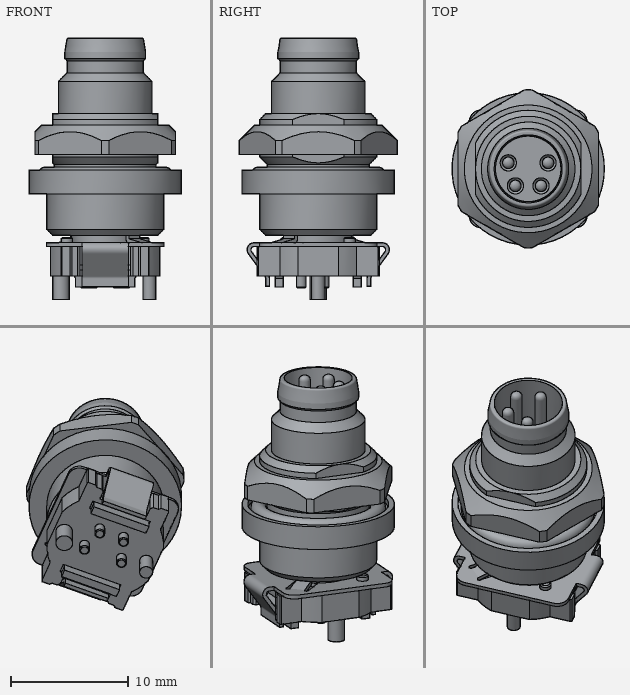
import cadquery as cq
import math

TOTAL_HEIGHT = 22.3

HOUSING_BOTTOM = 2.0
PLATE_BOTTOM = 4.53
PLATE_TOP = 4.86
BODY_BOTTOM = 5.49
FLANGE_BOTTOM = 9.0
FLANGE_TOP = 11.04
COLLAR_BOTTOM = 11.53
NUT_BOTTOM = 12.35
NUT_TOP = 14.87
COLLAR_TOP = 15.85
SOCKET_FLOOR = COLLAR_TOP

SHELL_RADIUS = 4.0
SHELL_SHOULDER_BOTTOM = 18.6
SHELL_SHOULDER_TOP = 19.33
NECK_RADIUS = 3.25
BEAD_RADIUS = 3.45
BEAD_UNDERCUT = 20.35
BEAD_BOTTOM = 20.55
BEAD_TOP = 21.07
LIP_FILLET = 0.18
SOCKET_MOUTH_RADIUS = 2.9
SOCKET_FLOOR_RADIUS = 2.79

COLLAR_RADIUS = 5.0
COLLAR_FLAT = 4.48
COLLAR_TOP_CHAMFER = 0.51
COLLAR_BOTTOM_CHAMFER = 0.65
RELIEF_RADIUS = COLLAR_RADIUS - COLLAR_BOTTOM_CHAMFER

NUT_SIDES = 6
NUT_APOTHEM = 6.0
NUT_ACROSS_CORNERS = 13.5
NUT_CORNER_RADIUS = NUT_ACROSS_CORNERS / 2
NUT_TOP_RADIUS = 5.45

FLANGE_DIAMETER = 13.0
FLANGE_RADIUS = FLANGE_DIAMETER / 2
SEAL_GROOVE_RADIUS = 6.0
SEAL_GROOVE_DEPTH = 0.5
SEAL_RING_RADIUS = 5.08
SEAL_SECTION_RADIUS = 0.67
SEAL_TOP = 11.3
BODY_RADIUS = 5.0
BODY_CHAMFER = 0.51
STEM_RADIUS = 2.85

CONTACTS = [(-1.7, 0.51), (1.7, 0.51), (-1.1, -1.45), (1.1, -1.45)]
CONTACT_RADIUS = 0.5
CONTACT_TOP = 22.08
CONTACT_TIP_FILLET = 0.4
CONTACT_SINK_RADIUS = 0.7
TAIL_RADIUS = 0.42
TAIL_BOTTOM = 1.0
TAIL_CHAMFER = 0.1

PLATE_HALF = 5.02
PLATE_THICKNESS = PLATE_TOP - PLATE_BOTTOM
PLATE_CORNER_RADIUS = 1.0
TONGUE_WIDTH = 3.95
TONGUE_BEND_CENTRE = 5.46
TONGUE_BEND_RADIUS = 0.6
TONGUE_LEAN = 36.0
TONGUE_KNEE_RADIUS = 0.33
TONGUE_END_OUTER = 4.48
TONGUE_BOTTOM = 1.14
TAB_WIDTH = 1.34
TAB_HINGE = 5.02
TAB_UPRIGHT = 3.52
TAB_KNEE = 5.2
TAB_SLOT_WIDTH = 0.33
TAB_DIRECTIONS = [135, -45]

HOUSING_SIDE = 4.65
HOUSING_SIDE_FLAT = 1.72
HOUSING_CORNER_X = 3.75
HOUSING_SIDE_SHOULDER = 3.25
HOUSING_FRONT = 5.22
HOUSING_CORNER_CHAMFER_X = 0.07
HOUSING_CORNER_CHAMFER_Y = 0.13
FRONT_STEP_OUTER = 3.0
FRONT_STEP = 0.18
RECESS_LEAD_OUTER = 2.36
RECESS_LEAD = 0.2
RECESS_BACK = 4.1
RECESS_LEDGE = 2.52
RECESS_LEDGE_DEPTH = 0.42

STUDS = [(-3.25, -2.68), (3.25, 2.68)]
STUD_RADIUS = 0.5
STUD_TOP = 5.3
STUD_CHAMFER = 0.11
LEG_X = 3.77
LARGE_LEG_RADIUS = 0.71
SMALL_LEG_RADIUS = 0.55
BAR_LENGTH = 5.06
BAR_WIDTH = 0.71
BAR_Y = 3.32
BAR_BOTTOM = 1.07
BAR_FLARE_BOTTOM = 1.8
BAR_FLARE = 0.11

OVERLAP = 0.11


def revolved(profile):
    """Solid of revolution about Z from (radius, height) points."""
    return cq.Workplane("XZ").polyline(profile).close().revolve(360, (0, 0, 0), (0, 1, 0))


def cylinder(x, y, radius, bottom, top):
    return cq.Workplane("XY", origin=(x, y, bottom)).circle(radius).extrude(top - bottom)


def block(length, width, bottom, top):
    return cq.Workplane("XY", origin=(0, 0, bottom)).rect(length, width).extrude(top - bottom)


def make_shell():
    shell = revolved([
        (0, NUT_BOTTOM),
        (SHELL_RADIUS, NUT_BOTTOM),
        (SHELL_RADIUS, SHELL_SHOULDER_BOTTOM),
        (NECK_RADIUS, SHELL_SHOULDER_TOP),
        (NECK_RADIUS, BEAD_UNDERCUT),
        (BEAD_RADIUS, BEAD_BOTTOM),
        (BEAD_RADIUS, BEAD_TOP),
        (NECK_RADIUS, TOTAL_HEIGHT),
        (0, TOTAL_HEIGHT),
    ])
    return shell.faces(">Z").edges().fillet(LIP_FILLET)


def make_socket():
    """Slightly tapered cavity that holds the contacts."""
    return revolved([
        (0, SOCKET_FLOOR),
        (SOCKET_FLOOR_RADIUS, SOCKET_FLOOR),
        (SOCKET_MOUTH_RADIUS, TOTAL_HEIGHT),
        (0, TOTAL_HEIGHT),
    ])


def make_collar():
    collar = revolved([
        (0, COLLAR_BOTTOM),
        (RELIEF_RADIUS, COLLAR_BOTTOM),
        (COLLAR_RADIUS, COLLAR_BOTTOM + COLLAR_BOTTOM_CHAMFER),
        (COLLAR_RADIUS, COLLAR_TOP - COLLAR_TOP_CHAMFER),
        (COLLAR_RADIUS - COLLAR_TOP_CHAMFER, COLLAR_TOP),
        (0, COLLAR_TOP),
    ])
    return collar.intersect(block(2 * COLLAR_FLAT, 2 * COLLAR_RADIUS, COLLAR_BOTTOM, COLLAR_TOP))


def make_nut():
    hexagon_diameter = 2 * NUT_APOTHEM / math.cos(math.pi / NUT_SIDES)
    hexagon = (
        cq.Workplane("XY", origin=(0, 0, NUT_BOTTOM))
        .transformed(rotate=(0, 0, 90))
        .polygon(NUT_SIDES, hexagon_diameter)
        .extrude(NUT_TOP - NUT_BOTTOM)
    )
    envelope = revolved([
        (0, NUT_BOTTOM),
        (NUT_CORNER_RADIUS, NUT_BOTTOM),
        (NUT_CORNER_RADIUS, NUT_TOP - (NUT_CORNER_RADIUS - NUT_TOP_RADIUS)),
        (NUT_TOP_RADIUS, NUT_TOP),
        (0, NUT_TOP),
    ])
    return hexagon.intersect(envelope)


def make_rear_body():
    groove_floor = FLANGE_TOP - SEAL_GROOVE_DEPTH
    return revolved([
        (0, PLATE_BOTTOM),
        (STEM_RADIUS, PLATE_BOTTOM),
        (STEM_RADIUS, BODY_BOTTOM),
        (BODY_RADIUS - BODY_CHAMFER, BODY_BOTTOM),
        (BODY_RADIUS, BODY_BOTTOM + BODY_CHAMFER),
        (BODY_RADIUS, FLANGE_BOTTOM),
        (FLANGE_RADIUS, FLANGE_BOTTOM),
        (FLANGE_RADIUS, FLANGE_TOP),
        (SEAL_GROOVE_RADIUS, FLANGE_TOP),
        (SEAL_GROOVE_RADIUS, groove_floor),
        (RELIEF_RADIUS, groove_floor),
        (RELIEF_RADIUS, COLLAR_BOTTOM),
        (0, COLLAR_BOTTOM),
    ])


def make_seal():
    """Sealing ring lying in the flange groove, sunk slightly into its floor."""
    ring_height = SEAL_TOP - SEAL_SECTION_RADIUS
    return (
        cq.Workplane("XZ")
        .center(SEAL_RING_RADIUS, ring_height)
        .circle(SEAL_SECTION_RADIUS)
        .revolve(360, (-SEAL_RING_RADIUS, 0, 0), (-SEAL_RING_RADIUS, 1, 0))
    )


def make_contact_sink(x, y):
    """Conical sink round a contact in the socket floor."""
    depth = CONTACT_SINK_RADIUS - CONTACT_RADIUS
    cone = cq.Solid.makeCone(CONTACT_RADIUS, CONTACT_SINK_RADIUS, depth)
    return cq.Workplane(cone.moved(cq.Location(cq.Vector(x, y, SOCKET_FLOOR - depth))))


def make_contact(x, y):
    pin = cylinder(x, y, CONTACT_RADIUS, NUT_BOTTOM, CONTACT_TOP)
    return pin.faces(">Z").edges().fillet(CONTACT_TIP_FILLET)


def make_tail(x, y):
    tail = cylinder(x, y, TAIL_RADIUS, TAIL_BOTTOM, HOUSING_BOTTOM + OVERLAP)
    return tail.faces("<Z").chamfer(TAIL_CHAMFER)


def make_plate():
    plate = block(2 * PLATE_HALF, 2 * PLATE_HALF, PLATE_BOTTOM, PLATE_TOP)
    return plate.edges("|Z").fillet(PLATE_CORNER_RADIUS)


def make_tab_window():
    """Opening for one tab along +X, with a round-ended slot on each side of the tab."""
    window = (
        cq.Workplane("XY", origin=((STEM_RADIUS + TAB_HINGE) / 2, 0, PLATE_BOTTOM))
        .rect(TAB_HINGE - STEM_RADIUS, TAB_WIDTH + 2 * TAB_SLOT_WIDTH)
        .extrude(PLATE_THICKNESS)
    )
    slot_y = (TAB_WIDTH + TAB_SLOT_WIDTH) / 2
    for side in (-1, 1):
        end = cylinder(TAB_HINGE, side * slot_y, TAB_SLOT_WIDTH / 2, PLATE_BOTTOM, PLATE_TOP)
        window = window.union(end)
    return window


def make_tab():
    """Tab along +X: it rises from its hinge and turns up against the rear body."""
    inner = TAB_UPRIGHT - PLATE_THICKNESS
    profile = [
        (TAB_HINGE + OVERLAP, PLATE_BOTTOM),
        (TAB_HINGE + OVERLAP, PLATE_TOP),
        (TAB_HINGE, PLATE_TOP),
        (TAB_UPRIGHT, TAB_KNEE),
        (TAB_UPRIGHT, BODY_BOTTOM + OVERLAP),
        (inner, BODY_BOTTOM + OVERLAP),
        (inner, TAB_KNEE - PLATE_THICKNESS / 2),
        (TAB_UPRIGHT - PLATE_THICKNESS / 2, TAB_KNEE - PLATE_THICKNESS),
        (TAB_HINGE, PLATE_BOTTOM),
    ]
    return cq.Workplane("XZ").polyline(profile).close().extrude(TAB_WIDTH / 2, both=True)


def make_tongue():
    """Spring tongue along +Y: it curls over, leans back inward and ends upright."""
    lean = math.radians(TONGUE_LEAN)
    bend_z = PLATE_TOP - TONGUE_BEND_RADIUS
    mid_angle = (math.pi / 2 - lean) / 2
    inner_radius = TONGUE_BEND_RADIUS - PLATE_THICKNESS

    def bend_point(radius, angle):
        return (TONGUE_BEND_CENTRE + radius * math.cos(angle), bend_z + radius * math.sin(angle))

    def knee(radius, y):
        """Where the leaning face tangent to the bend at this radius reaches y."""
        start_y, start_z = bend_point(radius, -lean)
        return (y, start_z - (start_y - y) / math.tan(lean))

    end_inner = TONGUE_END_OUTER - PLATE_THICKNESS
    outer_knee_point = knee(TONGUE_BEND_RADIUS, TONGUE_END_OUTER)
    inner_knee_point = knee(inner_radius, end_inner)
    profile = (
        cq.Workplane("YZ")
        .moveTo(PLATE_HALF - OVERLAP, PLATE_TOP)
        .lineTo(TONGUE_BEND_CENTRE, PLATE_TOP)
        .threePointArc(bend_point(TONGUE_BEND_RADIUS, mid_angle), bend_point(TONGUE_BEND_RADIUS, -lean))
        .lineTo(*outer_knee_point)
        .lineTo(TONGUE_END_OUTER, TONGUE_BOTTOM)
        .lineTo(end_inner, TONGUE_BOTTOM)
        .lineTo(*inner_knee_point)
        .lineTo(*bend_point(inner_radius, -lean))
        .threePointArc(bend_point(inner_radius, mid_angle), (TONGUE_BEND_CENTRE, PLATE_BOTTOM))
        .lineTo(PLATE_HALF - OVERLAP, PLATE_BOTTOM)
        .close()
    )
    tongue = profile.extrude(TONGUE_WIDTH / 2, both=True)
    outer_knee = cq.selectors.NearestToPointSelector((0, *outer_knee_point))
    inner_knee = cq.selectors.NearestToPointSelector((0, *inner_knee_point))
    tongue = tongue.edges("|X").edges(outer_knee).fillet(TONGUE_KNEE_RADIUS)
    tongue = tongue.edges("|X").edges(inner_knee).fillet(TONGUE_KNEE_RADIUS + PLATE_THICKNESS)
    return tongue


def make_recess_ledge(width):
    """Pocket that sets the upper part of a tongue recess further back above a 45 degree slope."""
    profile = [
        (RECESS_BACK, RECESS_LEDGE),
        (RECESS_BACK, PLATE_BOTTOM),
        (RECESS_BACK - RECESS_LEDGE_DEPTH, PLATE_BOTTOM),
        (RECESS_BACK - RECESS_LEDGE_DEPTH, RECESS_LEDGE + RECESS_LEDGE_DEPTH),
    ]
    return cq.Workplane("YZ").polyline(profile).close().extrude(width / 2, both=True)


def make_housing():
    """Block mirrored from a quarter, with a stepped recess for each tongue."""
    corner_radius = math.hypot(HOUSING_SIDE, HOUSING_SIDE_FLAT)
    mid_angle = (
        math.atan2(HOUSING_SIDE_FLAT, HOUSING_SIDE)
        + math.atan2(HOUSING_SIDE_SHOULDER, HOUSING_CORNER_X)
    ) / 2
    arc_middle = (corner_radius * math.cos(mid_angle), corner_radius * math.sin(mid_angle))
    step_y = HOUSING_FRONT - FRONT_STEP
    recess_x = RECESS_LEAD_OUTER - RECESS_LEAD
    quarter = (
        cq.Workplane("XY", origin=(0, 0, HOUSING_BOTTOM))
        .lineTo(HOUSING_SIDE, 0)
        .lineTo(HOUSING_SIDE, HOUSING_SIDE_FLAT)
        .threePointArc(arc_middle, (HOUSING_CORNER_X, HOUSING_SIDE_SHOULDER))
        .lineTo(HOUSING_CORNER_X, HOUSING_FRONT - HOUSING_CORNER_CHAMFER_Y)
        .lineTo(HOUSING_CORNER_X - HOUSING_CORNER_CHAMFER_X, HOUSING_FRONT)
        .lineTo(FRONT_STEP_OUTER, HOUSING_FRONT)
        .lineTo(FRONT_STEP_OUTER - FRONT_STEP, step_y)
        .lineTo(RECESS_LEAD_OUTER, step_y)
        .lineTo(recess_x, step_y - RECESS_LEAD)
        .lineTo(recess_x, RECESS_BACK)
        .lineTo(0, RECESS_BACK)
        .close()
        .extrude(PLATE_BOTTOM - HOUSING_BOTTOM)
    )
    half = quarter.union(quarter.mirror("YZ"))
    housing = half.union(half.mirror("XZ"))
    ledge = make_recess_ledge(2 * recess_x)
    return housing.cut(ledge).cut(ledge.mirror("XZ"))


def make_stud(x, y):
    stud = cylinder(x, y, STUD_RADIUS, HOUSING_BOTTOM, STUD_TOP)
    return stud.faces(">Z").chamfer(STUD_CHAMFER)


def make_bar(y):
    """Bar along X whose ends flare out just below the housing."""
    half_length = BAR_LENGTH / 2
    profile = (
        cq.Workplane("XZ", origin=(0, y, 0))
        .moveTo(-half_length, BAR_BOTTOM)
        .lineTo(half_length, BAR_BOTTOM)
        .lineTo(half_length, BAR_FLARE_BOTTOM)
        .lineTo(half_length + BAR_FLARE, HOUSING_BOTTOM)
        .lineTo(-half_length - BAR_FLARE, HOUSING_BOTTOM)
        .lineTo(-half_length, BAR_FLARE_BOTTOM)
        .close()
    )
    return profile.extrude(BAR_WIDTH / 2, both=True)


result = make_rear_body().union(make_collar()).union(make_shell())
result = result.cut(make_socket())
result = result.union(make_nut()).union(make_seal())

for x, y in CONTACTS:
    result = result.cut(make_contact_sink(x, y)).union(make_contact(x, y))

plate = make_plate()
for direction in TAB_DIRECTIONS:
    window = make_tab_window().rotate((0, 0, 0), (0, 0, 1), direction)
    tab = make_tab().rotate((0, 0, 0), (0, 0, 1), direction)
    plate = plate.cut(window).union(tab)
tongue = make_tongue()
plate = plate.union(tongue).union(tongue.mirror("XZ"))
result = result.union(plate)

result = result.union(make_housing())
for x, y in STUDS:
    result = result.union(make_stud(x, y))
for x, radius in [(-LEG_X, LARGE_LEG_RADIUS), (LEG_X, SMALL_LEG_RADIUS)]:
    result = result.union(cylinder(x, 0, radius, 0, HOUSING_BOTTOM + OVERLAP))
for y in (-BAR_Y, BAR_Y):
    result = result.union(make_bar(y))
for x, y in CONTACTS:
    result = result.union(make_tail(x, y))